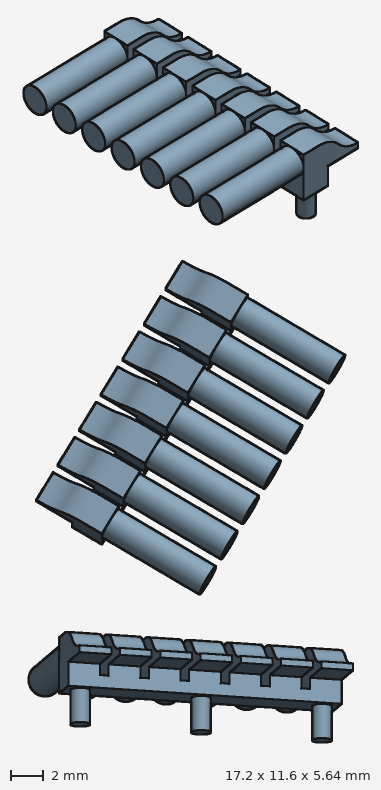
import cadquery as cq

POSITIONS = 7
PITCH = 2.54
BLOCK_WIDTH = 2.0

ROD_DIAMETER = 2.0
ROD_LENGTH = 6.9

BLOCK_LENGTH = 4.65
TOP_FLAT_LENGTH = 1.3
TIP_THICKNESS = 0.43
TIP_BOTTOM_Z = -2.0

BAR_DEPTH = 2.1
BAR_TOP_Z = -2.7
BAR_HEIGHT = 0.8
BAR_LENGTH = (POSITIONS - 1) * PITCH + BLOCK_WIDTH
BAR_BOTTOM_Z = BAR_TOP_Z - BAR_HEIGHT

PIN_DIAMETER = 1.2
PIN_LENGTH = 2.14
PIN_Y = 1.2
PIN_POSITIONS = (0, POSITIONS // 2, POSITIONS - 1)


def position_x(index):
    """X of the centre of one position in the row."""
    return (index - (POSITIONS - 1) / 2) * PITCH


def make_block(x):
    """Block whose top sweeps down to a thin rear tip through two equal, tangent arcs."""
    tip_top_z = TIP_BOTTOM_Z + TIP_THICKNESS
    middle_y = (TOP_FLAT_LENGTH + BLOCK_LENGTH) / 2
    middle_z = tip_top_z / 2
    return (
        cq.Workplane("YZ", origin=(x - BLOCK_WIDTH / 2, 0, 0))
        .moveTo(0, BAR_TOP_Z)
        .lineTo(0, 0)
        .lineTo(TOP_FLAT_LENGTH, 0)
        .tangentArcPoint((middle_y, middle_z), relative=False)
        .tangentArcPoint((BLOCK_LENGTH, tip_top_z), relative=False)
        .lineTo(BLOCK_LENGTH, TIP_BOTTOM_Z)
        .lineTo(BAR_DEPTH, TIP_BOTTOM_Z)
        .lineTo(BAR_DEPTH, BAR_TOP_Z)
        .close()
        .extrude(BLOCK_WIDTH)
    )


def make_rod(x):
    """Round rod extending toward -Y from the front face of a block."""
    return (
        cq.Workplane("XZ", origin=(x, 0, -ROD_DIAMETER / 2))
        .circle(ROD_DIAMETER / 2)
        .extrude(ROD_LENGTH)
    )


def make_bar():
    """Straight carrier bar under the blocks."""
    return (
        cq.Workplane("XY", origin=(0, 0, BAR_BOTTOM_Z))
        .box(BAR_LENGTH, BAR_DEPTH, BAR_HEIGHT, centered=(True, False, False))
    )


def make_pin(x):
    """Round pin hanging from the underside of the bar."""
    return (
        cq.Workplane("XY", origin=(x, PIN_Y, BAR_BOTTOM_Z))
        .circle(PIN_DIAMETER / 2)
        .extrude(-PIN_LENGTH)
    )


result = make_bar()
for index in range(POSITIONS):
    result = result.union(make_block(position_x(index)))
    result = result.union(make_rod(position_x(index)))
for index in PIN_POSITIONS:
    result = result.union(make_pin(position_x(index)))